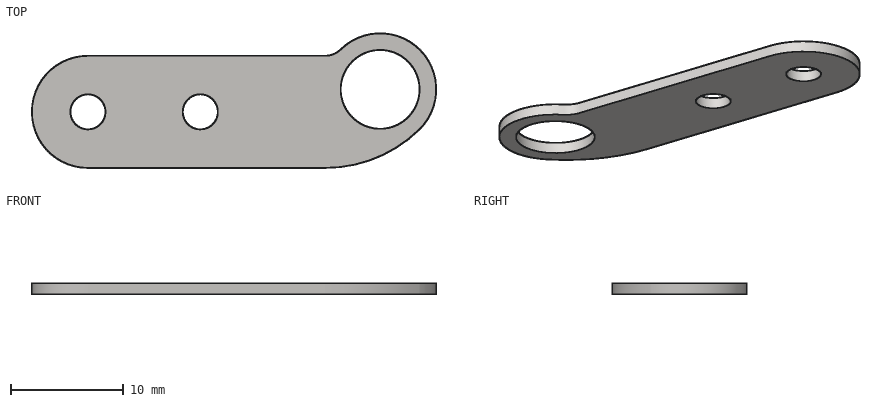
import cadquery as cq
import math

thickness = 1.0
bar_radius = 5.0
small_hole_diameter = 3.1
small_hole_spacing = 10.0
ring_x = 26.0
ring_y = 2.0
ring_radius = 5.0
ring_hole_diameter = 7.0
neck_radius = 2.0
belly_radius = 12.0


def toward(start, target, distance):
    """Point at a distance from start along the line to target."""
    span = math.dist(start, target)
    return tuple(a + (b - a) * distance / span for a, b in zip(start, target))


def polar(center, radius, angle):
    """Point on a circle at an angle in radians."""
    return (center[0] + radius * math.cos(angle), center[1] + radius * math.sin(angle))


def angle_of(center, point):
    """Direction from center to point in radians."""
    return math.atan2(point[1] - center[1], point[0] - center[0])


def arc_middle(center, start, end):
    """Middle of the arc from start to end, for arcs that do not cross the -X direction."""
    middle_angle = (angle_of(center, start) + angle_of(center, end)) / 2
    return polar(center, math.dist(center, start), middle_angle)


def make_plate():
    """Bar with one round end, blended tangentially into the offset ring."""
    ring = (ring_x, ring_y)

    neck_y = bar_radius + neck_radius
    neck_x = ring_x - math.sqrt((ring_radius + neck_radius) ** 2 - (neck_y - ring_y) ** 2)
    neck = (neck_x, neck_y)
    belly_y = belly_radius - bar_radius
    belly_x = ring_x - math.sqrt((belly_radius - ring_radius) ** 2 - (belly_y - ring_y) ** 2)
    belly = (belly_x, belly_y)

    neck_start = (neck_x, bar_radius)
    neck_end = toward(neck, ring, neck_radius)
    belly_start = (belly_x, -bar_radius)
    belly_end = toward(belly, ring, belly_radius)

    return (
        cq.Workplane("XY")
        .moveTo(0, -bar_radius)
        .lineTo(*belly_start)
        .threePointArc(arc_middle(belly, belly_start, belly_end), belly_end)
        .threePointArc(arc_middle(ring, belly_end, neck_end), neck_end)
        .threePointArc(arc_middle(neck, neck_end, neck_start), neck_start)
        .lineTo(0, bar_radius)
        .threePointArc((-bar_radius, 0), (0, -bar_radius))
        .close()
        .extrude(thickness)
    )


def cut_through_hole(body, x, y, diameter):
    """Cut a round hole through the full thickness."""
    cutter = cq.Workplane("XY").center(x, y).circle(diameter / 2).extrude(thickness)
    return body.cut(cutter)


result = make_plate()
for hole_x in (0, small_hole_spacing):
    result = cut_through_hole(result, hole_x, 0, small_hole_diameter)
result = cut_through_hole(result, ring_x, ring_y, ring_hole_diameter)